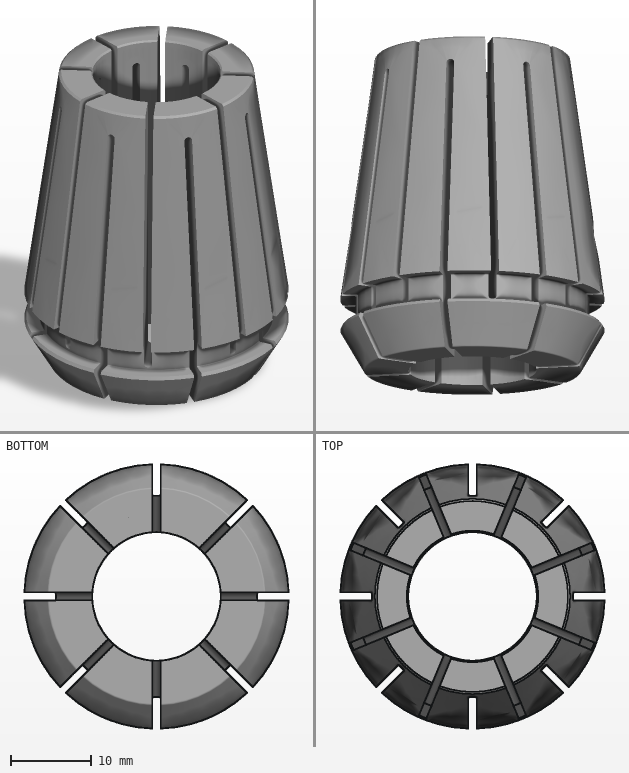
import cadquery as cq
import math

height = 40.0
max_radius = 16.5
bore_radius = 8.0

taper_angle = 8.0
taper_base_z = 9.05
top_radius = max_radius - (height - taper_base_z) * math.tan(math.radians(taper_angle))
top_chamfer = 0.25
bore_chamfer = 0.2

neck_radius = 14.55
neck_fillet = 0.1
groove_floor_z = 5.5
rim_chamfer = 0.25
rim_chamfer_height = 0.4
nose_fillet = 0.25
nose_angle = 30.0
rim_z = groove_floor_z - rim_chamfer_height
nose_radius = max_radius - rim_z * math.tan(math.radians(nose_angle))

slots_per_end = 8
slot_pitch = 360.0 / slots_per_end
slot_width = 1.0
upper_slot_corner = 0.4
lower_slot_top_z = 37.05
upper_slot_bottom_z = 5.9
overrun = 2.0
slot_reach = max_radius + overrun


def collet_body():
    """Revolve the half section, from the bore out to the profile, then break its edges."""
    section = (
        cq.Workplane("XZ")
        .moveTo(bore_radius, 0)
        .lineTo(nose_radius, 0)
        .lineTo(max_radius, rim_z)
        .lineTo(max_radius - rim_chamfer, groove_floor_z)
        .lineTo(neck_radius, groove_floor_z)
        .lineTo(neck_radius, taper_base_z)
        .lineTo(max_radius, taper_base_z)
        .lineTo(top_radius, height)
        .lineTo(bore_radius, height)
        .close()
    )
    inner_edge = cq.selectors.RadiusNthSelector(0)
    outer_edge = cq.selectors.RadiusNthSelector(-1)
    neck_corners = cq.selectors.RadiusNthSelector(3)
    body = section.revolve(360, (0, 0, 0), (0, 1, 0))
    body = body.edges(neck_corners).fillet(neck_fillet)
    body = body.faces("<Z").edges(outer_edge).fillet(nose_fillet)
    body = body.faces(">Z").edges(outer_edge).chamfer(top_chamfer)
    return body.faces(">Z").edges(inner_edge).chamfer(bore_chamfer)


def lower_slot():
    """Cutter toward +X, open at the nose and fully rounded at its upper end."""
    half_width = slot_width / 2
    round_start_z = lower_slot_top_z - half_width
    profile = (
        cq.Workplane("YZ")
        .moveTo(-half_width, -overrun)
        .lineTo(-half_width, round_start_z)
        .threePointArc((0, lower_slot_top_z), (half_width, round_start_z))
        .lineTo(half_width, -overrun)
        .close()
    )
    return profile.extrude(slot_reach)


def upper_slot():
    """Cutter toward +X, open at the top, with a flat floor and rounded floor corners."""
    depth = height + overrun - upper_slot_bottom_z
    cutter = (
        cq.Workplane("XY", origin=(0, 0, upper_slot_bottom_z))
        .box(slot_reach, slot_width, depth, centered=(False, True, False))
    )
    return cutter.faces("<Z").edges("|X").fillet(upper_slot_corner)


def turned(cutter, angle):
    """Turn a cutter about the collet axis."""
    return cutter.rotate((0, 0, 0), (0, 0, 1), angle)


result = collet_body()
for index in range(slots_per_end):
    lower_angle = index * slot_pitch
    upper_angle = lower_angle + slot_pitch / 2
    result = result.cut(turned(lower_slot(), lower_angle))
    result = result.cut(turned(upper_slot(), upper_angle))